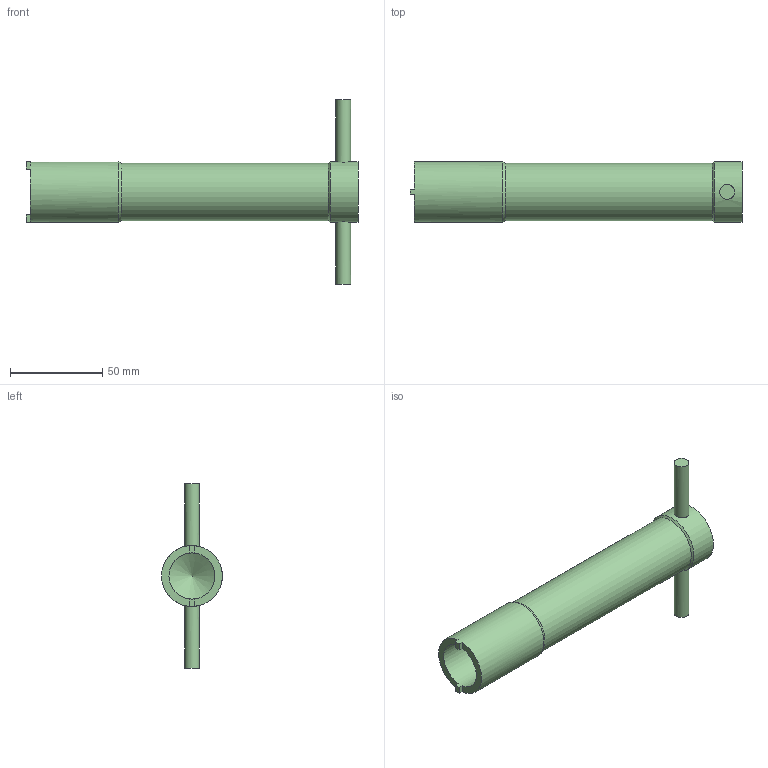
import cadquery as cq
import math

overall_length = 180.0

socket_diameter = 33.0
socket_end_x = 50.0
tooth_length = 2.2
tooth_width = 3.0
socket_taper_angle = 30.0

shank_diameter = 31.0

collar_diameter = socket_diameter
collar_length = 15.0
collar_taper_angle = 45.0

bore_diameter = 25.0
bore_end_x = socket_end_x
drill_point_angle = 118.0

bar_diameter = 8.0
bar_length = 100.0
bar_end_offset = 8.0


def taper_length(large_diameter, small_diameter, angle):
    """Axial length of a conical step between two diameters."""
    step_height = (large_diameter - small_diameter) / 2
    return step_height / math.tan(math.radians(angle))


def make_body():
    """Solid of revolution: socket, tapered step, shank, tapered step and collar."""
    socket_radius = socket_diameter / 2
    shank_radius = shank_diameter / 2
    collar_radius = collar_diameter / 2
    shank_start_x = socket_end_x + taper_length(socket_diameter, shank_diameter, socket_taper_angle)
    collar_start_x = overall_length - collar_length
    shank_end_x = collar_start_x - taper_length(collar_diameter, shank_diameter, collar_taper_angle)
    return (
        cq.Workplane("XY")
        .moveTo(0, 0)
        .lineTo(0, socket_radius)
        .lineTo(socket_end_x, socket_radius)
        .lineTo(shank_start_x, shank_radius)
        .lineTo(shank_end_x, shank_radius)
        .lineTo(collar_start_x, collar_radius)
        .lineTo(overall_length, collar_radius)
        .lineTo(overall_length, 0)
        .close()
        .revolve(360, (0, 0, 0), (1, 0, 0))
    )


def make_bore():
    """Cutter for the blind bore, ending in a drill point."""
    bore_radius = bore_diameter / 2
    point_length = bore_radius / math.tan(math.radians(drill_point_angle / 2))
    return (
        cq.Workplane("XY")
        .moveTo(0, 0)
        .lineTo(0, bore_radius)
        .lineTo(bore_end_x, bore_radius)
        .lineTo(bore_end_x + point_length, 0)
        .close()
        .revolve(360, (0, 0, 0), (1, 0, 0))
    )


def make_tooth_relief():
    """Cutter for the socket rim on both sides, leaving a tooth at +Z and at -Z."""
    rim = cq.Workplane("YZ").circle(socket_diameter).extrude(tooth_length)
    teeth = cq.Workplane("YZ").rect(tooth_width, 2 * socket_diameter).extrude(tooth_length)
    return rim.cut(teeth)


def make_cross_bar():
    """Round bar through the collar, centred on the wrench axis."""
    bar_x = overall_length - bar_end_offset
    return (
        cq.Workplane("XY")
        .center(bar_x, 0)
        .circle(bar_diameter / 2)
        .extrude(bar_length / 2, both=True)
    )


body = make_body().cut(make_bore()).cut(make_tooth_relief())
result = body.union(make_cross_bar())